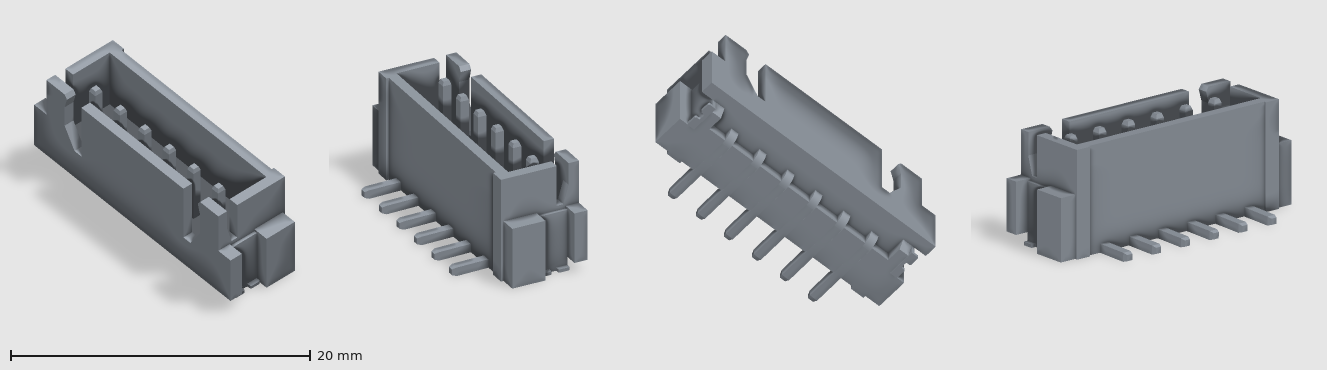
import cadquery as cq
import math

LENGTH = 20.0
BODY_LENGTH = 17.52
TOP_Z = 7.75
HOUSING_BOTTOM_Z = 0.05
BODY_BACK_Y = 5.7

CAVITY_LENGTH = 15.95
FRONT_WALL = 0.78
CAVITY_BACK_Y = 4.95
FLOOR_Z = 2.98

FLANGE_TOP_Z = 4.58
FRONT_FLANGE_BACK_Y = 1.0
REAR_FLANGE_FRONT_Y = 3.2

PAD_BACK_Y = 5.9
PAD_INNER_X = 7.65

RELIEF_TOP_Z = 0.85
RELIEF_BACK_Y = 2.52
RELIEF_SLOPE_DEPTH = 0.35

SIDE_SLOT_BACK_Y = 1.68
SIDE_SLOT_BOTTOM_FRONT_Y = 1.18
SIDE_SLOT_BOTTOM_Z = 4.75
SIDE_SLOT_TAPER_TOP_Z = 6.12

LATCH_INNER_X = 5.2
LATCH_BOTTOM_X = 5.9
LATCH_OUTER_X = 6.9
LATCH_NECK_X = 6.65
LATCH_BOTTOM_Z = 3.25
LATCH_SLOPE_TOP_Z = 4.88
LATCH_STRAIGHT_TOP_Z = 6.58
LATCH_NECK_Z = 7.45

PIN_COUNT = 6
PIN_PITCH = 2.5
PIN_SIZE = 0.65
PIN_Y = 2.2
PIN_TOP_Z = 7.42
PIN_END_Y = 8.4
PIN_INNER_RADIUS = 0.32
PIN_TIP_LENGTH = 0.3
PIN_TIP_INSET = 0.1
PIN_TIP_SIZE = PIN_SIZE - 2 * PIN_TIP_INSET
TAIL_TILT = math.radians(1)

TAB_THICKNESS = 0.25
TAB_TOP_Z = 4.4
TAB_FOOT_REACH = 0.6
TAB_NOTCH_WIDTH = 0.52
TAB_CORNER_RADIUS = 0.1

SIDES = (-1, 1)
PIN_XS = [(i - (PIN_COUNT - 1) / 2) * PIN_PITCH for i in range(PIN_COUNT)]


def block(x0, x1, y0, y1, z0, z1):
    """Box between two corners; the X limits may come in either order."""
    left = min(x0, x1)
    return cq.Workplane("XY").box(abs(x1 - x0), y1 - y0, z1 - z0, centered=False).translate((left, y0, z0))


def extrude_along_x(points, x0, x1):
    """Prism from (Y, Z) points, between two X positions."""
    return cq.Workplane("YZ").workplane(offset=x0).polyline(points).close().extrude(x1 - x0)


def make_shell():
    """Outer block with end flanges and back corner pads."""
    half_body = BODY_LENGTH / 2
    half_length = LENGTH / 2
    shell = block(-half_body, half_body, 0, BODY_BACK_Y, HOUSING_BOTTOM_Z, TOP_Z)
    for y0, y1 in ((0, FRONT_FLANGE_BACK_Y), (REAR_FLANGE_FRONT_Y, BODY_BACK_Y)):
        shell = shell.union(block(-half_length, half_length, y0, y1, HOUSING_BOTTOM_Z, FLANGE_TOP_Z))
    for side in SIDES:
        pad = block(side * PAD_INNER_X, side * half_body, CAVITY_BACK_Y, PAD_BACK_Y, HOUSING_BOTTOM_Z, TOP_Z)
        shell = shell.union(pad)
    return shell


def make_cavity():
    half = CAVITY_LENGTH / 2
    return block(-half, half, FRONT_WALL, CAVITY_BACK_Y, FLOOR_Z, TOP_Z)


def make_front_relief():
    """Space under the front: square between the side walls, with a sloped back below them."""
    half_cavity = CAVITY_LENGTH / 2
    half_length = LENGTH / 2
    middle = block(-half_cavity, half_cavity, 0, RELIEF_BACK_Y, HOUSING_BOTTOM_Z, RELIEF_TOP_Z)
    sloped = extrude_along_x(
        [
            (0, HOUSING_BOTTOM_Z),
            (FRONT_FLANGE_BACK_Y + RELIEF_SLOPE_DEPTH, HOUSING_BOTTOM_Z),
            (FRONT_FLANGE_BACK_Y, RELIEF_TOP_Z),
            (0, RELIEF_TOP_Z),
        ],
        -half_length,
        half_length,
    )
    return middle.union(sloped)


def make_side_slots():
    """One tapered slot profile run through both side walls."""
    profile = [
        (SIDE_SLOT_BACK_Y, TOP_Z),
        (SIDE_SLOT_BACK_Y, SIDE_SLOT_BOTTOM_Z),
        (SIDE_SLOT_BOTTOM_FRONT_Y, SIDE_SLOT_BOTTOM_Z),
        (FRONT_WALL, SIDE_SLOT_TAPER_TOP_Z),
        (FRONT_WALL, TOP_Z),
    ]
    return extrude_along_x(profile, -BODY_LENGTH / 2, BODY_LENGTH / 2)


def make_latch_slot(side):
    profile = [
        (LATCH_INNER_X, TOP_Z),
        (LATCH_INNER_X, LATCH_BOTTOM_Z),
        (LATCH_BOTTOM_X, LATCH_BOTTOM_Z),
        (LATCH_OUTER_X, LATCH_SLOPE_TOP_Z),
        (LATCH_OUTER_X, LATCH_STRAIGHT_TOP_Z),
        (LATCH_NECK_X, LATCH_NECK_Z),
        (LATCH_OUTER_X, TOP_Z),
    ]
    points = [(side * x, z) for x, z in profile]
    return cq.Workplane("XZ").polyline(points).close().extrude(-FRONT_WALL)


def make_tip(plane):
    """Tapered pin end, pointing along the normal of the plane."""
    base = cq.Workplane(plane).rect(PIN_SIZE, PIN_SIZE)
    return base.workplane(offset=PIN_TIP_LENGTH).rect(PIN_TIP_SIZE, PIN_TIP_SIZE).loft()


def make_pin(x):
    """L-shaped square pin: up through the floor and out at the back on a slightly drooping tail."""
    half = PIN_SIZE / 2
    radius = PIN_INNER_RADIUS + half
    upright_top = PIN_TOP_Z - PIN_TIP_LENGTH
    sine = math.sin(TAIL_TILT)
    cosine = math.cos(TAIL_TILT)

    tail_end_y = PIN_END_Y - PIN_TIP_LENGTH * cosine - PIN_TIP_SIZE / 2 * sine
    tail_end_z = half * cosine

    bend_y = PIN_Y + radius
    bend_z = tail_end_z + (tail_end_y - bend_y) * sine / cosine + radius / cosine
    tail_start = (bend_y - radius * sine, bend_z - radius * cosine)
    path = (
        cq.Workplane("YZ", origin=(x, 0, 0))
        .moveTo(PIN_Y, upright_top)
        .lineTo(PIN_Y, bend_z)
        .radiusArc(tail_start, -radius)
        .lineTo(tail_end_y, tail_end_z)
    )
    top_plane = cq.Plane(origin=(x, PIN_Y, upright_top))
    tail_direction = (0, cosine, -sine)
    tail_plane = cq.Plane(origin=(x, tail_end_y, tail_end_z), xDir=(1, 0, 0), normal=tail_direction)
    bar = cq.Workplane(top_plane).rect(PIN_SIZE, PIN_SIZE).sweep(path)
    return bar.union(make_tip(top_plane)).union(make_tip(tail_plane))


def make_tab(side):
    """Upright plate on the end of the housing, with a notched foot turned outward."""
    inner_x = BODY_LENGTH / 2
    plate_x = inner_x + TAB_THICKNESS
    foot_x = inner_x + TAB_FOOT_REACH
    centre_y = (FRONT_FLANGE_BACK_Y + REAR_FLANGE_FRONT_Y) / 2
    notch = (centre_y - TAB_NOTCH_WIDTH / 2, centre_y + TAB_NOTCH_WIDTH / 2)
    foot = block(side * inner_x, side * foot_x, FRONT_FLANGE_BACK_Y, REAR_FLANGE_FRONT_Y, 0, TAB_THICKNESS)
    foot = foot.cut(block(side * plate_x, side * foot_x, *notch, 0, TAB_THICKNESS))
    notch_and_outer_edges = cq.selectors.BoxSelector(
        (side * (plate_x - TAB_CORNER_RADIUS), 0, 0),
        (side * (foot_x + TAB_CORNER_RADIUS), BODY_BACK_Y, TAB_THICKNESS),
    )
    foot = foot.edges("|Z").edges(notch_and_outer_edges).fillet(TAB_CORNER_RADIUS)
    plate = block(side * inner_x, side * plate_x, FRONT_FLANGE_BACK_Y, REAR_FLANGE_FRONT_Y, 0, TAB_TOP_Z)
    return plate.union(foot)


def make_tail_channel(x):
    """Opens the underside of the housing below a pin tail."""
    half = PIN_SIZE / 2
    return block(x - half, x + half, RELIEF_BACK_Y, BODY_BACK_Y, HOUSING_BOTTOM_Z, half)


def make_housing(pins):
    housing = make_shell().cut(make_cavity()).cut(make_front_relief()).cut(make_side_slots())
    for side in SIDES:
        housing = housing.cut(make_latch_slot(side))
    for x, pin in zip(PIN_XS, pins):
        housing = housing.cut(pin).cut(make_tail_channel(x))
    return housing


pins = [make_pin(x) for x in PIN_XS]
tabs = [make_tab(side) for side in SIDES]
housing = make_housing(pins)

result = cq.Compound.makeCompound([housing.val(), *[body.val() for body in pins + tabs]])